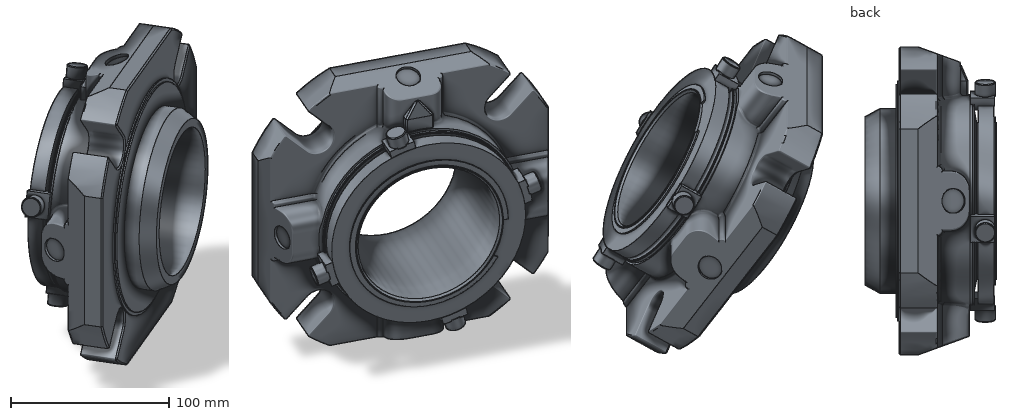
import cadquery as cq
import math


flange_size = 194.8
flange_front = 37.5
flange_back = 61.8
corner_radius = 107.5
slope_angle = 20.0
slope_back = 49.7
edge_rounding = 1.0
tip_rounding = 1.0
slot_width = 21.0
slot_center_radius = 86.5

hub_front = 17.0
hub_radius = 67.2
hub_fillet = 2.3
boss_front = 17.3
boss_half_width = 18.9
boss_foot_radius = 3.1
boss_foot_half_width = boss_half_width + boss_foot_radius
boss_embed = 2.0
boss_corner_radius = 11.9
marked_boss_front = 23.0
marked_boss_corner_radius = 9.4
port_diameter = 15.5
port_depth = 2.0
side_port_x = 27.3
upright_port_x = 40.0

plate_front = 18.1
plate_half_width = 9.4
plate_bottom = 66.2
plate_shoulder = 75.8
plate_apex = 87.3
plate_bevel = 1.0

bore_diameter = 95.0
bore_chamfer = 1.4
sleeve_diameter = 99.2
retainer_front = 0.8
collar_front = 1.8
collar_back = 11.7
collar_diameter = 130.1
disc_front = 14.0
disc_groove_front = 14.5
disc_groove_back = 15.2
disc_groove_diameter = collar_diameter
disc_diameter = 131.7
disc_cone_front = 12.7
disc_cone_diameter = 113.8
gasket_diameter = 152.0
gasket_step_diameter = 147.5
gasket_step_x = 62.7
gasket_back = 63.7
spigot_diameter = 117.0
spigot_taper_x = 73.6
spigot_end_diameter = 106.4
total_length = 83.4

retainer_diameter = 106.4
retainer_gap = 30.0

clip_turn = -15.0
clip_width = 17.0
clip_front = 1.4
clip_back = 16.5
clip_outer_radius = 70.1
clip_tongue_radius = 62.3
screw_diameter = 13.0
screw_x = 7.2
screw_base_radius = 69.2
screw_top_radius = 78.0
screw_chamfer = 0.5

tolerance = 0.02
edge_samples = [0, 0.3, 0.6, 1]
quarter_turns = [0, 90, 180, 270]
slope_tan = math.tan(math.radians(slope_angle))


def about_axis(shape, angle):
    """Turn a shape about X, from +Y towards +Z."""
    return shape.rotate((0, 0, 0), (1, 0, 0), angle)


def disc(diameter, start, end):
    """Cylinder on the X axis between two X positions."""
    return cq.Workplane("YZ", origin=(start, 0, 0)).circle(diameter / 2).extrude(end - start)


def boss(front, corner):
    """Boss pointing up +Z, its foot blended into the flange front."""
    foot_y = boss_foot_half_width
    foot_x = flange_front - boss_foot_radius
    flat_y = boss_half_width - corner
    return (
        cq.Workplane("XY")
        .moveTo(flange_front + boss_embed, -foot_y)
        .lineTo(flange_front, -foot_y)
        .radiusArc((foot_x, -boss_half_width), boss_foot_radius)
        .lineTo(front + corner, -boss_half_width)
        .radiusArc((front, -flat_y), corner)
        .lineTo(front, flat_y)
        .radiusArc((front + corner, boss_half_width), corner)
        .lineTo(foot_x, boss_half_width)
        .radiusArc((flange_front, foot_y), boss_foot_radius)
        .lineTo(flange_front + boss_embed, foot_y)
        .close()
        .extrude(flange_size / 2)
    )


def slope_envelope():
    """Square block whose four sides slope inwards ahead of slope_back."""
    sloping_base = cq.Workplane("YZ", origin=(slope_back, 0, 0)).rect(flange_size, flange_size)
    sloping = sloping_base.extrude(-slope_back, taper=slope_angle)
    straight_base = cq.Workplane("YZ", origin=(slope_back, 0, 0)).rect(flange_size, flange_size)
    return sloping.union(straight_base.extrude(flange_back - slope_back))


def slots():
    """Four round-ended bolt slots open at the flange corners."""
    slot = (
        cq.Workplane("XY")
        .box(flange_back, slot_width, flange_size, centered=(False, True, False))
        .translate((0, 0, slot_center_radius))
        .union(disc(slot_width, 0, flange_back).translate((0, 0, slot_center_radius)))
    )
    diagonals = about_axis(slot, 45)
    for turn in quarter_turns[1:]:
        diagonals = diagonals.union(about_axis(slot, 45 + turn))
    return diagonals


def port(port_x):
    """Shallow round recess square to the top boss's sloping face."""
    face_z = flange_size / 2 - (slope_back - port_x) * slope_tan
    normal = cq.Vector(-slope_tan, 0, 1)
    plane = cq.Plane(origin=(port_x, 0, face_z), xDir=(0, 1, 0), normal=normal)
    return cq.Workplane(plane).circle(port_diameter / 2).extrude(-port_depth)


def is_slot_tip(edge):
    """Whether an edge is a corner where a slot opens through the round flange corner."""
    middle = edge.positionAt(0.5)
    near_diagonal = min(abs(middle.y), abs(middle.z)) > flange_size / 4
    return near_diagonal and math.hypot(middle.y, middle.z) > corner_radius - tolerance


def is_front_rim(edge):
    """Whether an edge bounds the flange front or a boss's sloping end, clear of the hub."""
    middle = edge.positionAt(0.5)
    reach = max(abs(middle.y), abs(middle.z))
    slope_reach = flange_size / 2 - (slope_back - middle.x) * slope_tan
    on_slope = abs(reach - slope_reach) < tolerance and middle.x < flange_front + tolerance
    on_front = edge.BoundingBox().xmax < flange_front + tolerance and middle.x > flange_front - tolerance
    outer = math.hypot(middle.y, middle.z) > hub_radius + hub_fillet
    beside_boss = min(abs(middle.y), abs(middle.z)) < boss_foot_half_width + tolerance
    straight_foot = edge.geomType() == "LINE" and beside_boss
    return on_slope or (on_front and outer and not straight_foot)


def is_hub_foot(edge):
    """Whether a curved edge lies on the hub's cylinder where it meets the flange or a boss."""
    on_hub = all(
        abs(math.hypot(edge.positionAt(t).y, edge.positionAt(t).z) - hub_radius) < tolerance
        for t in edge_samples
    )
    box = edge.BoundingBox()
    return on_hub and edge.geomType() != "LINE" and boss_front - tolerance < box.xmax < flange_back - tolerance


def gland():
    """Slotted flange with its four port bosses and rounded outline."""
    body = disc(2 * corner_radius, flange_front, flange_back)
    body = body.union(boss(marked_boss_front, marked_boss_corner_radius))
    for turn in quarter_turns[1:]:
        body = body.union(about_axis(boss(boss_front, boss_corner_radius), turn))
    body = body.intersect(slope_envelope()).cut(slots())
    tips = [edge for edge in body.edges("|X").vals() if is_slot_tip(edge)]
    body = body.newObject(tips).fillet(tip_rounding)
    body = body.faces(">X").edges().chamfer(edge_rounding)
    rim = [edge for edge in body.edges().vals() if is_front_rim(edge)]
    return body.newObject(rim).fillet(edge_rounding)


def add_hub(body):
    """Join the hub with a blended foot, then trim the blend level with the hub's front."""
    body = body.union(disc(2 * hub_radius, 0, flange_back))
    foot = [edge for edge in body.edges().vals() if is_hub_foot(edge)]
    return body.newObject(foot).fillet(hub_fillet).cut(disc(2 * flange_size, 0, hub_front))


def is_plate_front(edge):
    """Whether an edge runs along the plate's front outline, leaving out its lower end."""
    box = edge.BoundingBox()
    off_center = abs(edge.Center().y) > plate_bevel
    return off_center and box.xmin < marked_boss_front - tolerance and box.zlen > plate_bevel


def marker_plate():
    """House-shaped plate with bevelled sides, its front leaning back to the apex."""
    plate = (
        cq.Workplane("YZ", origin=(marked_boss_front, 0, 0))
        .moveTo(-plate_half_width, plate_bottom)
        .lineTo(-plate_half_width, plate_shoulder)
        .lineTo(0, plate_apex)
        .lineTo(plate_half_width, plate_shoulder)
        .lineTo(plate_half_width, plate_bottom)
        .close()
        .extrude(plate_front - marked_boss_front)
    )
    lean = (
        cq.Workplane("XZ")
        .moveTo(plate_front, plate_shoulder)
        .lineTo(marked_boss_front, plate_apex)
        .lineTo(plate_front, plate_apex)
        .close()
        .extrude(plate_half_width, both=True)
    )
    leaning = plate.cut(lean)
    front_edges = [edge for edge in leaning.edges().vals() if is_plate_front(edge)]
    return leaning.newObject(front_edges).chamfer(plate_bevel)


def core():
    """Sleeve, collar, cover disc, gasket and tapered spigot as one turned solid."""
    bore_radius = bore_diameter / 2
    outline = [
        (bore_chamfer, bore_radius),
        (0, bore_radius + bore_chamfer),
        (0, sleeve_diameter / 2),
        (collar_front, sleeve_diameter / 2),
        (collar_front, collar_diameter / 2),
        (collar_back, collar_diameter / 2),
        (collar_back, sleeve_diameter / 2),
        (disc_cone_front, sleeve_diameter / 2),
        (disc_front, disc_cone_diameter / 2),
        (disc_front, disc_diameter / 2),
        (disc_groove_front, disc_diameter / 2),
        (disc_groove_front, disc_groove_diameter / 2),
        (disc_groove_back, disc_groove_diameter / 2),
        (disc_groove_back, disc_diameter / 2),
        (flange_back, disc_diameter / 2),
        (flange_back, gasket_diameter / 2),
        (gasket_step_x, gasket_diameter / 2),
        (gasket_step_x, gasket_step_diameter / 2),
        (gasket_back, gasket_step_diameter / 2),
        (gasket_back, spigot_diameter / 2),
        (spigot_taper_x, spigot_diameter / 2),
        (total_length, spigot_end_diameter / 2),
        (total_length, bore_radius),
    ]
    return cq.Workplane("XY").polyline(outline).close().revolve(360, (0, 0, 0), (1, 0, 0))


def retainer():
    """Ring on the collar face, open below its -Y end."""
    opening = (
        cq.Workplane("YZ")
        .lineTo(-flange_size, 0)
        .lineTo(-flange_size, -flange_size * math.tan(math.radians(retainer_gap)))
        .close()
        .extrude(collar_front)
    )
    return disc(retainer_diameter, retainer_front, collar_front).cut(opening)


def clip():
    """Curved clip bridging collar and hub, with its radial screw, centred on +Z."""
    block = disc(2 * clip_outer_radius, clip_front, clip_back)
    block = block.cut(disc(collar_diameter, clip_front, collar_back))
    block = block.cut(disc(2 * clip_tongue_radius, collar_back, clip_back))
    sides = cq.Workplane("XY").box(clip_back, clip_width, clip_outer_radius, centered=(False, True, False))
    screw = (
        cq.Workplane("XY", origin=(screw_x, 0, screw_base_radius))
        .circle(screw_diameter / 2)
        .extrude(screw_top_radius - screw_base_radius)
        .faces(">Z")
        .chamfer(screw_chamfer)
    )
    return block.intersect(sides).union(screw)


sleeve_space = disc(sleeve_diameter, 0, total_length)
result = add_hub(gland()).cut(sleeve_space).union(marker_plate())
for turn in quarter_turns:
    port_x = upright_port_x if turn % 180 == 0 else side_port_x
    result = result.cut(about_axis(port(port_x), turn))

turned = core().union(retainer().cut(sleeve_space))
for turn in quarter_turns:
    turned = turned.union(about_axis(clip(), turn + clip_turn))
result = result.union(turned)